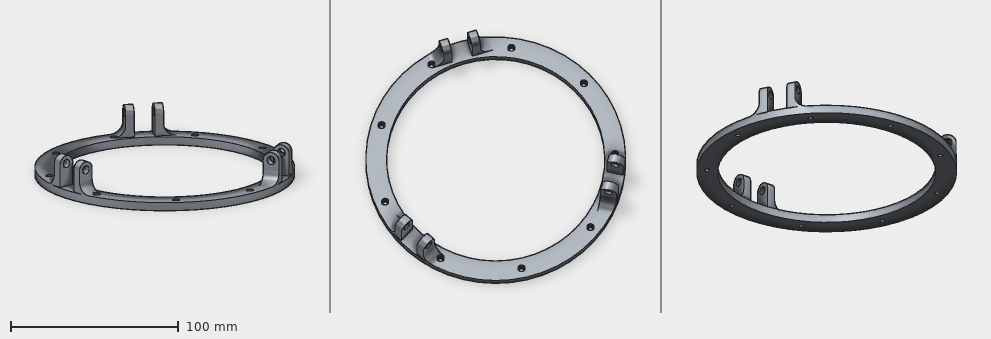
import cadquery as cq
import math

ring_outer_diameter = 155.0
ring_inner_diameter = 130.0
ring_thickness = 5.1
rim_allowance = 3.1
total_height = 24.0

pair_count = 3
lug_center_radius = 71.5
lug_width = 9.9
lug_thickness = 5.3
lug_gap = 12.5
lug_root_radius = 7.5
pin_hole_diameter = 5.0
lug_tip_radius = lug_width / 2
pin_height = total_height - lug_tip_radius

screw_count = 9
screw_circle_radius = 71.3
screw_first_angle = 15.0
screw_diameter = 3.0
head_diameter = 4.2
head_depth = 2.5


def vertical_cylinder(diameter, bottom, top):
    return cq.Workplane("XY").workplane(offset=bottom).circle(diameter / 2).extrude(top - bottom)


def make_blank():
    """Oversized disc that carries the lugs until the rim is trimmed."""
    return vertical_cylinder(ring_outer_diameter + 2 * rim_allowance, 0, ring_thickness)


def make_trim_tube():
    """Tube that bounds the finished ring and the outer corners of the lug roots."""
    bore = vertical_cylinder(ring_inner_diameter, 0, total_height)
    return vertical_cylinder(ring_outer_diameter, 0, total_height).cut(bore)


def make_lug():
    """Lug on the +Y side of the pair at +X, with a concave root on its outer face."""
    inner_face = lug_gap / 2
    outer_face = inner_face + lug_thickness
    root_end = outer_face + lug_root_radius
    root_top = ring_thickness + lug_root_radius
    root_diagonal = lug_root_radius * math.cos(math.radians(45))
    root_middle = root_end - root_diagonal
    root_middle_height = root_top - root_diagonal

    side = (
        cq.Workplane("YZ", origin=(lug_center_radius - lug_width / 2, 0, 0))
        .moveTo(inner_face, 0)
        .lineTo(inner_face, total_height)
        .lineTo(outer_face, total_height)
        .lineTo(outer_face, root_top)
        .threePointArc((root_middle, root_middle_height), (root_end, ring_thickness))
        .lineTo(root_end, 0)
        .close()
        .extrude(lug_width)
    )

    face_plane = cq.Workplane("XZ", origin=(lug_center_radius, 0, 0))
    face = (
        face_plane
        .moveTo(-lug_tip_radius, 0)
        .lineTo(-lug_tip_radius, pin_height)
        .threePointArc((0, total_height), (lug_tip_radius, pin_height))
        .lineTo(lug_tip_radius, 0)
        .close()
        .extrude(-root_end)
    )
    pin_hole = face_plane.center(0, pin_height).circle(pin_hole_diameter / 2).extrude(-root_end)

    return side.intersect(face).cut(pin_hole)


def make_screw_cutter():
    shank = vertical_cylinder(screw_diameter, 0, ring_thickness)
    head = vertical_cylinder(head_diameter, ring_thickness - head_depth, total_height)
    return shank.union(head).translate((screw_circle_radius, 0, 0))


def turned(body, angle):
    return body.rotate((0, 0, 0), (0, 0, 1), angle)


result = make_blank()

lug = make_lug()
lug_pair = [lug, lug.mirror("XZ")]
for pair_index in range(pair_count):
    for member in lug_pair:
        result = result.union(turned(member, pair_index * 360 / pair_count))

result = result.intersect(make_trim_tube())

screw_cutter = make_screw_cutter()
for screw_index in range(screw_count):
    screw_angle = screw_first_angle + screw_index * 360 / screw_count
    result = result.cut(turned(screw_cutter, screw_angle))